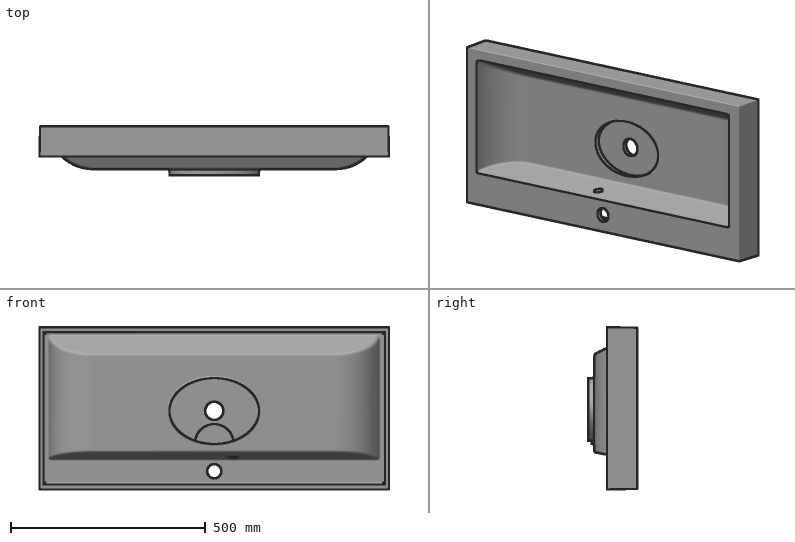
import cadquery as cq
import math

overall_length = 897.03
overall_depth = 126.0
overall_height = 416.96

tray_depth = 78.0
tray_draft = 1.0
outer_edge_radius = 3.0
deck_thickness = 14.0
skirt_end_wall = 11.0
skirt_long_wall = 13.0
deck_fillet = 5.0
hollow_depth = tray_depth - deck_thickness
skirt_draft_growth = hollow_depth * math.tan(math.radians(tray_draft))

bowl_depth = 110.5
bowl_wall = 12.0
bowl_flat_half_length = 310.0
bowl_end_radius = 116.0
bowl_floor_top_z = 139.0
bowl_floor_bottom_z = -113.0
bowl_top_slope = 26.0
bowl_bottom_slope = 11.0
bowl_top_fillet = 10.0
bowl_bottom_fillet = 6.0
bowl_joint_fillet = 4.3

pad_center_z = -7.0
pad_half_length = 115.0
pad_half_height = 84.5
pad_fillet = 5.5
pad_wall = 13.0
relief_radius = 49.5
relief_center_z = -90.0
relief_depth = 8.0

drain_diameter = 46.0
drain_z = -6.5
faucet_diameter = 36.0
faucet_z = -161.5
overflow_diameter = 22.0
overflow_x = 48.0
overflow_depth = 42.0
overflow_half_length = 30.0

pick_margin = 1.0


def plane_at(depth):
    """Work plane facing -Y at the given depth; its local axes are X and Z."""
    return cq.Workplane("XZ").workplane(offset=depth)


def edges_at_depth(depth, half_length, z_min, z_max):
    """Selector for the edges lying at one depth inside a rectangle centred in X."""
    return cq.selectors.BoxSelector(
        (-half_length, -depth - pick_margin, z_min),
        (half_length, -depth + pick_margin, z_max),
        boundingbox=True,
    )


def make_tray():
    """Drafted block with rounded edges, hollowed from the -Y side up to the deck."""
    block = plane_at(tray_depth).rect(overall_length, overall_height).extrude(-tray_depth, taper=tray_draft)
    block = block.edges("not(|X or |Z)").fillet(outer_edge_radius)
    block = block.faces(">Y").edges().fillet(outer_edge_radius)
    hollow = (
        plane_at(tray_depth)
        .rect(overall_length - 2 * skirt_end_wall, overall_height - 2 * skirt_long_wall)
        .extrude(-hollow_depth, taper=tray_draft)
    )
    hollow = hollow.faces(">Y").edges().fillet(deck_fillet)
    return block.cut(hollow)


def bowl_wall_z(floor_z, slope, side, depth, inset):
    """Z of a sloped long wall at a depth; side is +1 for the top wall, -1 for the bottom one."""
    angle = math.radians(slope)
    return floor_z + side * ((bowl_depth - depth) * math.tan(angle) - inset / math.cos(angle))


def make_bowl_body(inset):
    """Solid filling the bowl, with its outer skin moved inwards by inset."""
    floor = bowl_depth - inset
    end_radius = bowl_end_radius - inset
    half_length = bowl_flat_half_length + end_radius
    arc_start_y = end_radius - floor
    arc_mid_x = bowl_flat_half_length + end_radius * math.sqrt(0.5)
    arc_mid_y = arc_start_y - end_radius * math.sqrt(0.5)
    lengthwise = (
        cq.Workplane("XY")
        .moveTo(-half_length, arc_start_y)
        .threePointArc((-arc_mid_x, arc_mid_y), (-bowl_flat_half_length, -floor))
        .lineTo(bowl_flat_half_length, -floor)
        .threePointArc((arc_mid_x, arc_mid_y), (half_length, arc_start_y))
        .close()
        .extrude(overall_height, both=True)
    )
    crosswise = (
        cq.Workplane("YZ")
        .moveTo(0, bowl_wall_z(bowl_floor_top_z, bowl_top_slope, 1, 0, inset))
        .lineTo(-floor, bowl_wall_z(bowl_floor_top_z, bowl_top_slope, 1, floor, inset))
        .lineTo(-floor, bowl_wall_z(bowl_floor_bottom_z, bowl_bottom_slope, -1, floor, inset))
        .lineTo(0, bowl_wall_z(bowl_floor_bottom_z, bowl_bottom_slope, -1, 0, inset))
        .close()
        .extrude(overall_length, both=True)
    )
    body = lengthwise.intersect(crosswise)
    body = body.faces("<Y").edges(">Z").fillet(bowl_top_fillet)
    return body.faces("<Y").edges("|X").edges("<Z").fillet(bowl_bottom_fillet)


def join_bowl(tray, bowl):
    """Unite tray and bowl and round the inner corner where the bowl leaves the deck."""
    deck_half_length = overall_length / 2 - skirt_end_wall - skirt_draft_growth - deck_fillet
    deck_half_height = overall_height / 2 - skirt_long_wall - skirt_draft_growth - deck_fillet
    joint = edges_at_depth(
        deck_thickness,
        deck_half_length - pick_margin,
        pick_margin - deck_half_height,
        deck_half_height - pick_margin,
    )
    return tray.union(bowl).edges(joint).fillet(bowl_joint_fillet)


def add_drain_pad(body):
    """Elliptical pad under the floor, blended into it and relieved at its lower edge."""
    pad = plane_at(0).center(0, pad_center_z).ellipse(pad_half_length, pad_half_height).extrude(overall_depth)
    floor_joint = edges_at_depth(
        bowl_depth,
        pad_half_length + pick_margin,
        pad_center_z - pad_half_height - pick_margin,
        pad_center_z + pad_half_height + pick_margin,
    )
    body = body.union(pad).edges(floor_joint).fillet(pad_fillet)
    relief = (
        plane_at(overall_depth - relief_depth)
        .center(0, relief_center_z)
        .circle(relief_radius)
        .extrude(relief_depth)
    )
    return body.cut(relief)


def make_cavity():
    """Space inside the bowl, deepened behind the drain pad."""
    recess = (
        plane_at(0)
        .center(0, pad_center_z)
        .ellipse(pad_half_length - bowl_wall, pad_half_height - bowl_wall)
        .extrude(overall_depth - pad_wall)
    )
    return make_bowl_body(bowl_wall).union(recess)


def cut_holes(body):
    """Drain and faucet holes along Y, overflow hole along Z through the bottom wall of the bowl."""
    for diameter, z in ((drain_diameter, drain_z), (faucet_diameter, faucet_z)):
        hole = plane_at(0).center(0, z).circle(diameter / 2).extrude(overall_depth)
        body = body.cut(hole)
    overflow = (
        cq.Workplane("XY", origin=(overflow_x, -overflow_depth, bowl_floor_bottom_z))
        .circle(overflow_diameter / 2)
        .extrude(overflow_half_length, both=True)
    )
    return body.cut(overflow)


basin = join_bowl(make_tray(), make_bowl_body(0))
basin = add_drain_pad(basin).cut(make_cavity())
result = cut_holes(basin)